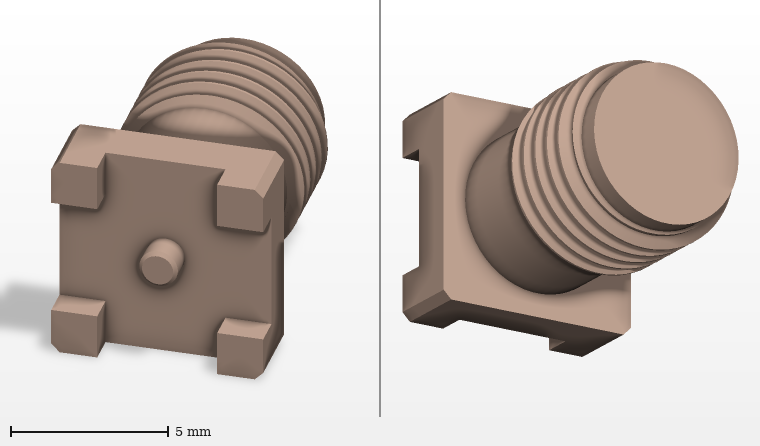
import cadquery as cq
import math


flange_width = 7.0
total_length = 10.38

leg_length = 1.0
leg_width = 1.52
flange_thickness = 1.52
corner_chamfer = 0.28

barrel_diameter = 5.4
barrel_end = total_length - leg_length

thread_diameter = 6.35
thread_pitch = 25.4 / 36
flank_angle = math.radians(30)
crest_flat = thread_pitch / 8
root_flat = thread_pitch / 4
thread_length = 3.81
plain_tip_length = 0.76
thread_end_chamfer_length = 0.31
crest_start = 0.31
thread_start = barrel_end - plain_tip_length - thread_length
thread_depth = (thread_pitch - crest_flat - root_flat) / 2 / math.tan(flank_angle)
root_radius = thread_diameter / 2 - thread_depth

cutter_overreach = 0.03
helix_runout_turns = 1

insulator_diameter = 4.55
pin_diameter = 1.27
pin_projection = 0.95
pin_chamfer = 0.12


def rod(diameter, y_start, y_end):
    """Cylinder on the connector axis between two Y positions."""
    plane = cq.Plane(origin=(0, y_start, 0), xDir=(0, 0, 1), normal=(0, 1, 0))
    return cq.Workplane(plane).circle(diameter / 2).extrude(y_end - y_start)


def make_flange():
    """Square flange with a leg at each corner and chamfered corner edges."""
    block = (
        cq.Workplane("XY")
        .box(flange_width, leg_length + flange_thickness, flange_width)
        .translate((0, (flange_thickness - leg_length) / 2, 0))
        .edges("|Y")
        .chamfer(corner_chamfer)
    )
    gap_between_legs = flange_width - 2 * leg_width
    for size_x, size_z in ((gap_between_legs, flange_width), (flange_width, gap_between_legs)):
        channel = cq.Workplane("XY").box(size_x, leg_length, size_z).translate((0, -leg_length / 2, 0))
        block = block.cut(channel)
    return block


def make_thread_blank():
    """Thread section before cutting, tapered down to the barrel at both ends."""
    barrel_radius = barrel_diameter / 2
    crest_radius = thread_diameter / 2
    thread_stop = thread_start + thread_length
    profile = [
        (thread_start, 0),
        (thread_start, barrel_radius),
        (thread_start + thread_end_chamfer_length, crest_radius),
        (thread_stop - thread_end_chamfer_length, crest_radius),
        (thread_stop, barrel_radius),
        (thread_stop, 0),
    ]
    return cq.Workplane("YZ").polyline(profile).close().revolve(360, (0, 0, 0), (1, 0, 0))


def make_groove_cutter():
    """Trapezoid swept along a right-handed helix, turned onto the Y axis and trimmed to the thread."""
    runout = helix_runout_turns * thread_pitch
    helix = cq.Wire.makeHelix(thread_pitch, thread_length + 2 * runout, root_radius)
    outer_radius = thread_diameter / 2 + cutter_overreach
    outer_half_width = root_flat / 2 + (outer_radius - root_radius) * math.tan(flank_angle)
    groove = (
        cq.Workplane("XZ")
        .polyline([
            (root_radius, -root_flat / 2),
            (outer_radius, -outer_half_width),
            (outer_radius, outer_half_width),
            (root_radius, root_flat / 2),
        ])
        .close()
        .sweep(cq.Workplane(helix), isFrenet=True)
    )
    groove_start = thread_start + crest_start + thread_pitch / 2 - runout
    groove = groove.rotate((0, 0, 0), (1, 0, 0), -90).translate((0, groove_start, 0))
    trim = rod(2 * thread_diameter, thread_start, thread_start + thread_length)
    return groove.intersect(trim)


def make_housing():
    """Flange, barrel and thread as one body, bored through for the insulator."""
    thread = make_thread_blank().cut(make_groove_cutter())
    barrel = rod(barrel_diameter, 0, barrel_end)
    bore = rod(insulator_diameter, 0, barrel_end)
    return make_flange().union(barrel).union(thread).cut(bore)


def make_insulator():
    """Sleeve that fills the housing bore around the pin."""
    return rod(insulator_diameter, 0, barrel_end).cut(rod(pin_diameter, 0, barrel_end))


def make_pin():
    """Centre pin, chamfered where it stands out between the legs."""
    return rod(pin_diameter, -pin_projection, barrel_end).faces("<Y").chamfer(pin_chamfer)


housing = make_housing()
insulator = make_insulator()
pin = make_pin()

result = cq.Compound.makeCompound([body.solids().val() for body in (housing, insulator, pin)])